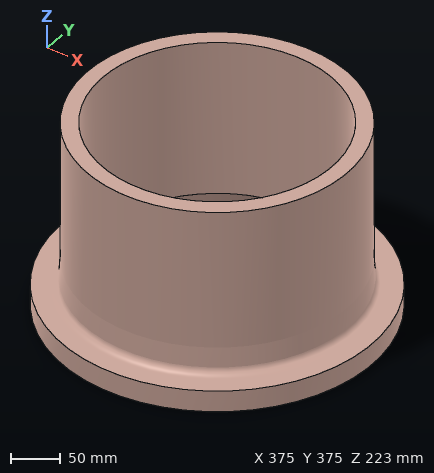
import cadquery as cq

flange_radius = 187.5
total_height = 223.0
flange_thickness = 25.5

tube_radius = 157.5
bore_radius = 138.8

flare_depth = 38.2
flare_width = 14.0
flare_radius = bore_radius + flare_width

collar_base_radius = 159.0
collar_base_height = 34.0
collar_top_height = 57.5
fillet_outer_radius = 169.0

blend_width = fillet_outer_radius - collar_base_radius
blend_rise = collar_base_height - flange_thickness
blend_radius = (blend_width**2 + blend_rise**2) / (2 * blend_rise)
blend_centre_height = flange_thickness + blend_radius

blend_mid_radius = fillet_outer_radius - blend_width / 2
blend_mid_drop = (blend_radius**2 - (blend_width / 2) ** 2) ** 0.5
blend_mid_height = blend_centre_height - blend_mid_drop

half_section = (
    cq.Workplane("XZ")
    .moveTo(flare_radius, 0)
    .lineTo(flange_radius, 0)
    .lineTo(flange_radius, flange_thickness)
    .lineTo(fillet_outer_radius, flange_thickness)
    .threePointArc(
        (blend_mid_radius, blend_mid_height),
        (collar_base_radius, collar_base_height),
    )
    .lineTo(tube_radius, collar_top_height)
    .lineTo(tube_radius, total_height)
    .lineTo(bore_radius, total_height)
    .lineTo(bore_radius, flare_depth)
    .close()
)

result = half_section.revolve(360, (0, 0, 0), (0, 1, 0))